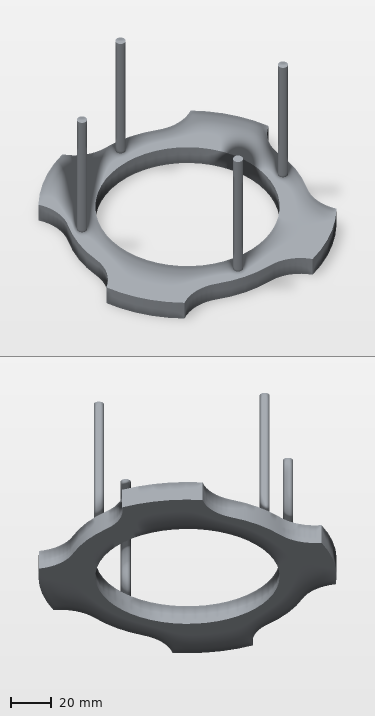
import cadquery as cq
import math

outer_radius = 72.8
waist_radius = 60.0
bore_diameter = 90.0
plate_thickness = 10.0
lobe_half_width = 20.0
scoop_radius = 22.5
lobe_count = 4

pin_diameter = 5.0
total_height = 80.0
pin_centers = [(37.3, 37.3), (-43.8, 31.3), (-44.3, -31.3), (37.3, -37.3)]


def polar(radius, angle):
    return (radius * math.cos(angle), radius * math.sin(angle))


lobe_pitch = 2 * math.pi / lobe_count
corner_angle = math.asin(lobe_half_width / outer_radius)
scoop_distance = waist_radius + scoop_radius
scoop_offset_angle = math.acos(
    (outer_radius**2 + scoop_distance**2 - scoop_radius**2) / (2 * outer_radius * scoop_distance)
)
scoop_angle = corner_angle + scoop_offset_angle


def scoop_middle(lobe_angle, side):
    """Point halfway along a scoop; side is 1 after the lobe and -1 before it."""
    center_x, center_y = polar(scoop_distance, lobe_angle + side * scoop_angle)
    corner_x, corner_y = polar(outer_radius, lobe_angle + side * corner_angle)
    tangent_x, tangent_y = polar(waist_radius, lobe_angle + side * scoop_angle)
    toward_x = corner_x + tangent_x - 2 * center_x
    toward_y = corner_y + tangent_y - 2 * center_y
    reach = scoop_radius / math.hypot(toward_x, toward_y)
    return (center_x + reach * toward_x, center_y + reach * toward_y)


def make_plate():
    outline = cq.Workplane("XY").moveTo(*polar(outer_radius, -corner_angle))
    for index in range(lobe_count):
        lobe = index * lobe_pitch
        next_lobe = lobe + lobe_pitch
        outline = (
            outline
            .threePointArc(polar(outer_radius, lobe), polar(outer_radius, lobe + corner_angle))
            .threePointArc(scoop_middle(lobe, 1), polar(waist_radius, lobe + scoop_angle))
            .threePointArc(
                polar(waist_radius, lobe + lobe_pitch / 2),
                polar(waist_radius, next_lobe - scoop_angle),
            )
            .threePointArc(scoop_middle(next_lobe, -1), polar(outer_radius, next_lobe - corner_angle))
        )
    plate = outline.close().extrude(plate_thickness)
    bore = cq.Workplane("XY").circle(bore_diameter / 2).extrude(plate_thickness)
    return plate.cut(bore)


def make_pins():
    return cq.Workplane("XY").pushPoints(pin_centers).circle(pin_diameter / 2).extrude(total_height)


result = make_plate().union(make_pins())